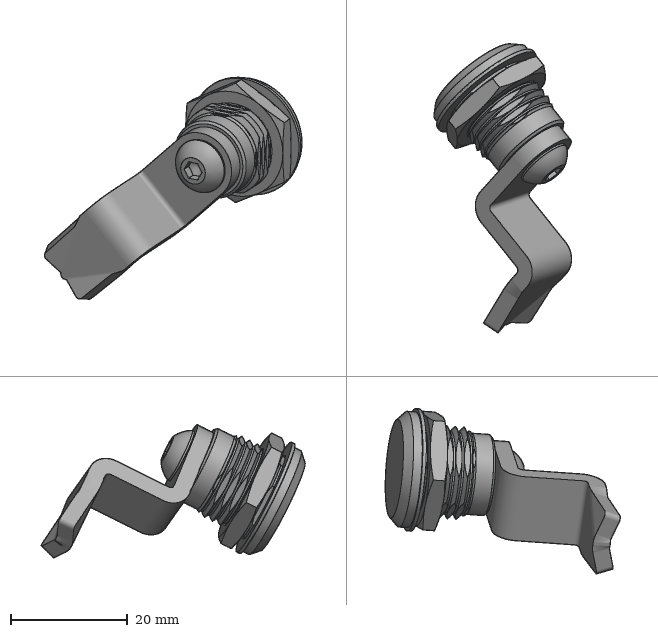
import cadquery as cq
import math


head_radius = 9.95
head_height = 3.0
head_chamfer = 1.5
body_length = 13.42
body_end_radius = 7.0
body_end_chamfer = 0.42
body_flat_width = 14.1
thread_diameter = 16.0
thread_radius = thread_diameter / 2
thread_flank_angle = 30.0
first_crest_depth = 0.95
last_crest_depth = 8.45
crest_count = 6
thread_pitch = (last_crest_depth - first_crest_depth) / (crest_count - 1)
runout_radius = 7.3
runout_length = 0.42

washer_radius = 10.52
washer_thickness = 0.6
nut_flat_width = 19.0
nut_thickness = 3.0
nut_start_depth = 1.52
nut_bore_diameter = 14.75
nut_chamfer_angle = 19.0

bar_thickness = 3.0
bar_half_width = 6.0
bend_inner_radius = 0.8
bend_outer_radius = bend_inner_radius + bar_thickness
cam_offset = 17.62
leg_reach = 10.85
cam_reach = 27.0
wing_angle = 20.0
wing_stretch_radius = 3.53
wing_fold_start = 16.2
fold_gap_half = 0.3
wing_corner_radius = 0.9

screw_head_diameter = 9.5
screw_head_height = 2.8
screw_rim_height = 0.35
screw_flat_diameter = 4.8
screw_shank_diameter = 5.0
screw_thread_depth = 6.0
socket_flat_width = 3.0
socket_depth = 1.6
socket_cone_depth = 0.9

hex_corner_ratio = 1 / math.cos(math.radians(30))


def revolved(outline):
    """Turn a closed (radius, y) outline about the lock axis."""
    return cq.Workplane("XY").polyline(outline).close().revolve(360, (0, 0, 0), (0, 1, 0))


def cylinder(radius, y_top, length):
    """A cylinder on the lock axis that runs from y_top toward -Y."""
    return cq.Workplane("XZ", origin=(0, y_top, 0)).circle(radius).extrude(length)


def thread_outline():
    """(radius, y) points of the ring thread, with a lower last ring next to the plain end."""
    flank_half_height = (thread_radius - body_end_radius) * math.tan(math.radians(thread_flank_angle))
    points = []
    for i in range(crest_count):
        crest_y = -first_crest_depth - i * thread_pitch
        if i > 0:
            points.append((body_end_radius, crest_y + flank_half_height))
        points.append((thread_radius, crest_y))
        points.append((body_end_radius, crest_y - flank_half_height))
    runout_rise = (runout_radius - body_end_radius) * math.tan(math.radians(thread_flank_angle))
    runout_start_y = -last_crest_depth - thread_pitch + flank_half_height
    runout_crest_y = runout_start_y - runout_rise
    points.append((body_end_radius, runout_start_y))
    points.append((runout_radius, runout_crest_y))
    points.append((body_end_radius, runout_crest_y - runout_length))
    return points


def make_housing():
    head = revolved([
        (0, 0),
        (head_radius, 0),
        (head_radius, head_height - head_chamfer),
        (head_radius - head_chamfer, head_height),
        (0, head_height),
    ])
    body = revolved([
        (0, 0),
        (thread_radius, 0),
        *thread_outline(),
        (body_end_radius, -body_length + body_end_chamfer),
        (body_end_radius - body_end_chamfer, -body_length),
        (0, -body_length),
    ])
    four_flats = cq.Workplane("XZ").rect(body_flat_width, body_flat_width).extrude(body_length)
    screw_hole = cylinder(screw_shank_diameter / 2, -body_length + screw_thread_depth, screw_thread_depth)
    return head.union(body.intersect(four_flats)).cut(screw_hole)


def make_washer():
    ring = cylinder(washer_radius, 0, washer_thickness)
    return ring.cut(cylinder(thread_radius, 0, washer_thickness))


def make_nut(housing):
    face_radius = nut_flat_width / 2
    corner_radius = face_radius * hex_corner_ratio
    chamfer_height = (corner_radius - face_radius) * math.tan(math.radians(nut_chamfer_angle))
    top_y = -nut_start_depth
    bottom_y = top_y - nut_thickness
    blank = (
        cq.Workplane("XZ", origin=(0, top_y, 0))
        .polygon(6, 2 * corner_radius)
        .extrude(nut_thickness)
        .rotate((0, 0, 0), (0, 1, 0), 30)
    )
    chamfered_round = revolved([
        (0, top_y),
        (face_radius, top_y),
        (corner_radius, top_y - chamfer_height),
        (corner_radius, bottom_y + chamfer_height),
        (face_radius, bottom_y),
        (0, bottom_y),
    ])
    bore = cylinder(nut_bore_diameter / 2, top_y, nut_thickness)
    return blank.intersect(chamfered_round).cut(bore).cut(housing)



fold_angle = math.atan2(bar_half_width - fold_gap_half, cam_reach - wing_fold_start)
fold_along = (math.cos(fold_angle), -math.sin(fold_angle))
fold_across = (math.sin(fold_angle), math.cos(fold_angle))
fold_flat_width = wing_stretch_radius * math.radians(wing_angle)


def fold_line_end_points(distance):
    """Bar-edge and bar-end points (x, y) of the line parallel to the fold, a distance beyond it."""
    edge_x = wing_fold_start + distance / math.sin(fold_angle)
    end_y = fold_gap_half + distance / math.cos(fold_angle)
    return (edge_x, bar_half_width), (cam_reach, end_y)


def fold_plane(fraction):
    """Plane of the back face of the bar after a fraction of the fold: x along the fold, y across it."""
    angle = math.radians(wing_angle) * fraction
    travel = bend_outer_radius * math.sin(angle)
    lift = cam_offset - bar_thickness + bend_outer_radius * (1 - math.cos(angle))
    origin = (
        wing_fold_start + travel * fold_across[0],
        bar_half_width + travel * fold_across[1],
        lift,
    )
    normal = (-math.sin(angle) * fold_across[0], -math.sin(angle) * fold_across[1], math.cos(angle))
    return cq.Plane(origin=origin, xDir=(*fold_along, 0), normal=normal)


def in_fold_axes(point, distance):
    """Distances of a flat (x, y) point along the fold and beyond the fold line at a distance."""
    dx = point[0] - wing_fold_start
    dy = point[1] - bar_half_width
    along = dx * fold_along[0] + dy * fold_along[1]
    across = dx * fold_across[0] + dy * fold_across[1] - distance
    return along, across


def fold_section(fraction):
    """Cross-section through the bar along the fold, after a fraction of the fold."""
    distance = fold_flat_width * fraction
    plane = fold_plane(fraction)
    edge, end = [in_fold_axes(point, distance)[0] for point in fold_line_end_points(distance)]
    corners = [(edge, 0, 0), (end, 0, 0), (end, 0, bar_thickness), (edge, 0, bar_thickness)]
    return cq.Wire.makePolygon([plane.toWorldCoords(corner) for corner in corners], close=True)


def make_wing():
    bend = cq.Solid.makeLoft([fold_section(fraction) for fraction in (0, 0.5, 1)])
    edge, end = fold_line_end_points(fold_flat_width)
    corner = (cam_reach, bar_half_width)
    outline = [in_fold_axes(point, fold_flat_width) for point in (edge, end, corner)]
    blade = cq.Workplane(fold_plane(1)).polyline(outline).close().extrude(bar_thickness)
    corner_at = fold_plane(1).toWorldCoords((*outline[2], bar_thickness / 2))
    corner_edge = cq.selectors.NearestToPointSelector(corner_at.toTuple())
    blade = blade.edges(corner_edge).fillet(wing_corner_radius)
    return blade.union(cq.Workplane(bend))


def make_bar():
    """The twice-bent bar: arm, leg and tip plate, without the wings."""
    leg_outer = leg_reach + bar_thickness
    tip_back = cam_offset - bar_thickness
    side = (
        cq.Workplane("XZ", origin=(0, bar_half_width, 0))
        .moveTo(-bar_half_width, 0)
        .lineTo(leg_outer - bend_outer_radius, 0)
        .radiusArc((leg_outer, bend_outer_radius), -bend_outer_radius)
        .lineTo(leg_outer, tip_back - bend_inner_radius)
        .radiusArc((leg_outer + bend_inner_radius, tip_back), bend_inner_radius)
        .lineTo(cam_reach, tip_back)
        .lineTo(cam_reach, cam_offset)
        .lineTo(leg_reach + bend_outer_radius, cam_offset)
        .radiusArc((leg_reach, cam_offset - bend_outer_radius), -bend_outer_radius)
        .lineTo(leg_reach, bar_thickness + bend_inner_radius)
        .radiusArc((leg_reach - bend_inner_radius, bar_thickness), bend_inner_radius)
        .lineTo(-bar_half_width, bar_thickness)
        .close()
        .extrude(2 * bar_half_width)
    )
    plan = (
        cq.Workplane("XY")
        .moveTo(0, bar_half_width)
        .lineTo(wing_fold_start, bar_half_width)
        .lineTo(cam_reach, fold_gap_half)
        .lineTo(cam_reach, -fold_gap_half)
        .lineTo(wing_fold_start, -bar_half_width)
        .lineTo(0, -bar_half_width)
        .threePointArc((-bar_half_width, 0), (0, bar_half_width))
        .close()
        .extrude(cam_offset)
    )
    return side.intersect(plan)


def make_cam():
    wing = make_wing()
    screw_hole = cq.Workplane("XY").circle(screw_shank_diameter / 2).extrude(bar_thickness)
    cam = make_bar().union(wing).union(wing.mirror("XZ")).cut(screw_hole)
    cam_plane = cq.Plane(origin=(0, -body_length, 0), xDir=(-1, 0, -1), normal=(0, -1, 0))
    return cq.Workplane(cam.val().moved(cq.Location(cam_plane)))


def make_screw():
    seat_y = -body_length - bar_thickness
    rim_y = seat_y - screw_rim_height
    top_y = seat_y - screw_head_height
    rim_radius = screw_head_diameter / 2
    flat_radius = screw_flat_diameter / 2
    dome_height = rim_y - top_y
    centre_rise = (flat_radius**2 + dome_height**2 - rim_radius**2) / (2 * dome_height)
    dome_radius = math.hypot(rim_radius, centre_rise)
    centre_y = rim_y - centre_rise
    rim_angle = math.atan2(rim_y - centre_y, rim_radius)
    flat_angle = math.atan2(top_y - centre_y, flat_radius)
    middle_angle = (rim_angle + flat_angle) / 2
    dome_middle = (dome_radius * math.cos(middle_angle), centre_y + dome_radius * math.sin(middle_angle))
    head = (
        cq.Workplane("XY")
        .moveTo(0, seat_y)
        .lineTo(rim_radius, seat_y)
        .lineTo(rim_radius, rim_y)
        .threePointArc(dome_middle, (flat_radius, top_y))
        .lineTo(0, top_y)
        .close()
        .revolve(360, (0, 0, 0), (0, 1, 0))
    )
    shank_length = bar_thickness + screw_thread_depth
    shank = cylinder(screw_shank_diameter / 2, seat_y + shank_length, shank_length)
    return head.union(shank).cut(make_socket(top_y))


def make_socket(top_y):
    """Hexagon socket with a conical bottom."""
    corner_radius = socket_flat_width / 2 * hex_corner_ratio
    cone_y = top_y + socket_depth
    point_y = cone_y + socket_cone_depth
    hexagon = (
        cq.Workplane("XZ", origin=(0, point_y, 0))
        .polygon(6, 2 * corner_radius)
        .extrude(point_y - top_y)
    )
    pointed_round = revolved([(0, top_y), (corner_radius, top_y), (corner_radius, cone_y), (0, point_y)])
    return hexagon.intersect(pointed_round)


housing = make_housing()
washer = make_washer()
nut = make_nut(housing)
cam = make_cam()
screw = make_screw()

result = cq.Compound.makeCompound([body.solids().val() for body in (housing, washer, nut, cam, screw)])